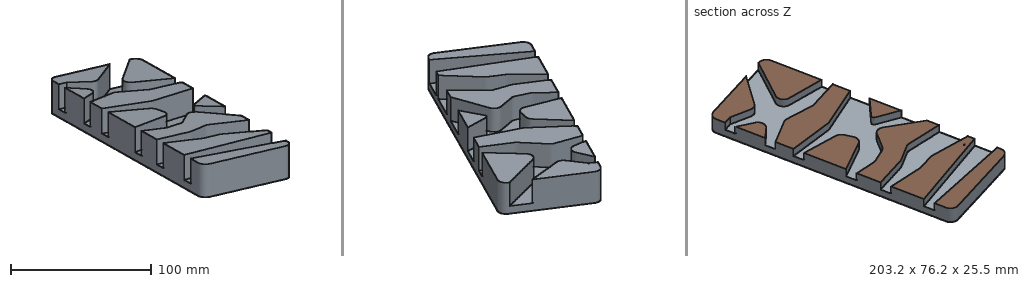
import cadquery as cq
import math

length = 203.2
width = 76.2
height = 25.5
corner_radius = 6.3

floor_thickness = 6.3
bend_radius = 6.0
sharp_tip_radius = 2.2

upper_left_wedge = [
    (0, width), (0, 68.9), (36.2, 38.0, bend_radius), (48.5, width),
]
lower_left_wedge = [
    (0, 0), (13.6, 0), (13.6, 7.0), (23.8, 25.6, bend_radius), (0, 52.2),
]
small_lower_hump = [
    (21.7, 0), (47.0, 0), (37.5, 18.3, bend_radius),
]
left_stripe = [
    (55.0, 0), (70.3, 0), (77.2, 38.0, bend_radius), (72.1, width),
    (57.5, width), (57.5, 49.0, bend_radius), (48.4, 24.5, bend_radius),
]
upper_triangle = [
    (88.0, width), (100.8, 57.3, sharp_tip_radius), (114.8, width),
]
large_lower_hump = [
    (78.6, 0), (114.0, 0), (105.7, 35.2, bend_radius), (89.6, 31.5, bend_radius),
]
forked_stripe = [
    (122.5, 0), (142.6, 0), (142.6, 28.7, bend_radius), (137.8, 45.7, bend_radius),
    (146.0, width), (135.7, width), (108.3, 49.2, bend_radius),
    (124.8, 33.1, bend_radius), (127.0, 18.0, bend_radius),
]
right_stripe = [
    (151.0, 0), (178.6, 0), (175.5, width), (169.7, width),
    (158.5, 43.9, bend_radius), (158.5, 28.9, bend_radius),
]
right_end = [
    (187.1, 0), (length, 0), (length, width), (194.0, width),
]
islands = [
    upper_left_wedge, lower_left_wedge, small_lower_hump, left_stripe, upper_triangle,
    large_lower_hump, forked_stripe, right_stripe, right_end,
]


def rounded_corner(before, corner, after):
    """Return the start, middle and end of the arc that rounds a corner."""
    point = cq.Vector(corner[0], corner[1])
    radius = corner[2]
    to_before = (cq.Vector(before[0], before[1]) - point).normalized()
    to_after = (cq.Vector(after[0], after[1]) - point).normalized()
    half_angle = to_before.getAngle(to_after) / 2
    tangent_length = radius / math.tan(half_angle)
    middle_distance = radius / math.sin(half_angle) - radius
    bisector = (to_before + to_after).normalized()
    start = point + to_before * tangent_length
    middle = point + bisector * middle_distance
    end = point + to_after * tangent_length
    return start, middle, end


def make_island(corners):
    """Extrude an outline to full height, starting at its first, sharp corner."""
    outline = cq.Workplane("XY").moveTo(*corners[0])
    for index in range(1, len(corners)):
        corner = corners[index]
        if len(corner) == 2:
            outline = outline.lineTo(*corner)
            continue
        following = corners[(index + 1) % len(corners)]
        start, middle, end = rounded_corner(corners[index - 1], corner, following)
        outline = outline.lineTo(start.x, start.y).threePointArc(middle.toTuple()[:2], end.toTuple()[:2])
    return outline.close().extrude(height)


def make_block(block_height):
    """Make a plate with rounded vertical corners, its lower left corner at the origin."""
    plate = cq.Workplane("XY").box(length, width, block_height, centered=False)
    return plate.edges("|Z").fillet(corner_radius)


envelope = make_block(height)
result = make_block(floor_thickness)
for island_corners in islands:
    result = result.union(make_island(island_corners).intersect(envelope))